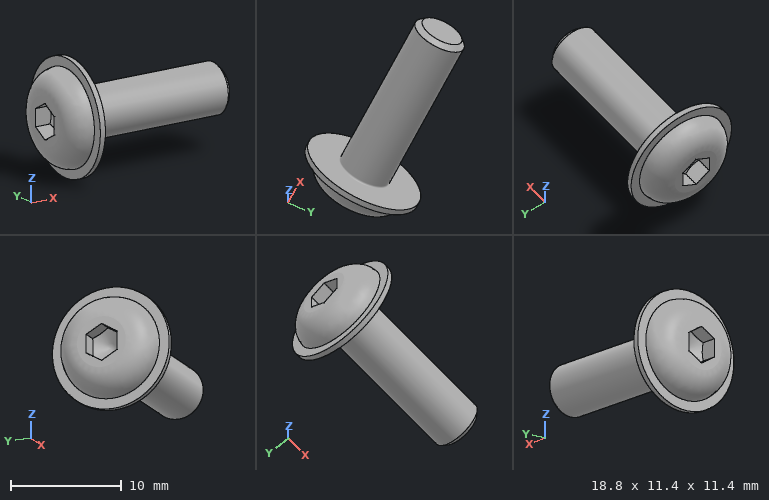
import cadquery as cq
import math

total_length = 18.75
shank_diameter = 5.0
tip_chamfer = 0.49
neck_fillet = 0.2

flange_diameter = 11.4
flange_thickness = 0.56
dome_diameter = 9.49
dome_height = 2.2
face_diameter = dome_diameter / 2

socket_width = 3.0
socket_depth = 1.55
socket_cone_angle = 120.0

shank_radius = shank_diameter / 2
flange_radius = flange_diameter / 2
dome_radius = dome_diameter / 2
face_radius = face_diameter / 2
head_height = dome_height + flange_thickness


def make_body():
    """Revolve the half profile, with X along the axis and Y as the radius."""
    dome_drop = dome_radius - face_radius
    arc_radius = (dome_height**2 + dome_drop**2) / (2 * dome_height)
    half_sweep = math.atan2(dome_drop, arc_radius - dome_height) / 2
    dome_middle = (
        arc_radius * (1 - math.cos(half_sweep)),
        face_radius + arc_radius * math.sin(half_sweep),
    )
    fillet_offset = neck_fillet * (1 - math.sqrt(0.5))
    neck_middle = (head_height + fillet_offset, shank_radius + fillet_offset)

    return (
        cq.Workplane("XY")
        .moveTo(0, 0)
        .lineTo(0, face_radius)
        .threePointArc(dome_middle, (dome_height, dome_radius))
        .lineTo(dome_height, flange_radius)
        .lineTo(head_height, flange_radius)
        .lineTo(head_height, shank_radius + neck_fillet)
        .threePointArc(neck_middle, (head_height + neck_fillet, shank_radius))
        .lineTo(total_length - tip_chamfer, shank_radius)
        .lineTo(total_length, shank_radius - tip_chamfer)
        .lineTo(total_length, 0)
        .close()
        .revolve(360, (0, 0, 0), (1, 0, 0))
    )


def make_socket():
    """Hexagonal prism with corners on Z, narrowed to a cone below the socket depth."""
    corner_diameter = socket_width / math.cos(math.pi / 6)
    corner_radius = corner_diameter / 2
    cone_height = corner_radius / math.tan(math.radians(socket_cone_angle / 2))
    prism = (
        cq.Workplane("YZ")
        .transformed(rotate=(0, 0, 90))
        .polygon(6, corner_diameter)
        .extrude(socket_depth + cone_height)
    )
    pointed_drill = (
        cq.Workplane("XY")
        .moveTo(0, 0)
        .lineTo(0, corner_radius)
        .lineTo(socket_depth, corner_radius)
        .lineTo(socket_depth + cone_height, 0)
        .close()
        .revolve(360, (0, 0, 0), (1, 0, 0))
    )
    return prism.intersect(pointed_drill)


result = make_body().cut(make_socket())